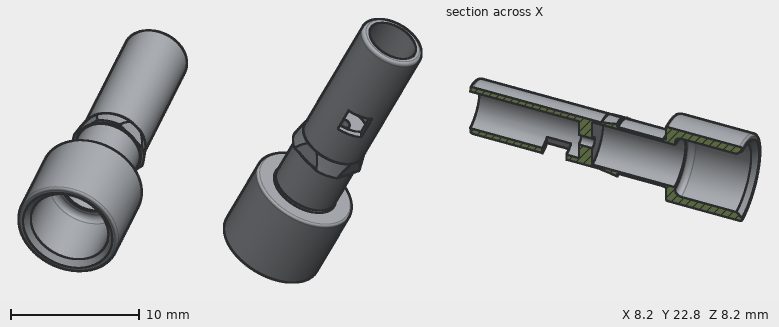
import cadquery as cq

LENGTH = 22.8

HEAD_RADIUS = 8.2 / 2
HEAD_LENGTH = 6.4
HEAD_ROUND = 0.2
SHANK_RADIUS = 5.2 / 2
SHANK_END_ROUND = 0.3
NECK_RADIUS = SHANK_RADIUS + 0.07
NECK_LENGTH = 0.2

BARB_RADIUS = 5.84 / 2
BARB_TIP_RADIUS = 5.3 / 2
BARB_START = 10.47
BARB_LENGTH = 1.3
BARB_ROOT = 0.07
FLAT_FIRST_ANGLE = 45.0

SOCKET_RADIUS = 6.35 / 2
SOCKET_DEPTH = 5.59
SOCKET_FLOOR_ROUND = 0.5
MOUTH_CHAMFER = 0.48
BORE_RADIUS = 4.6 / 2
BORE_DEPTH = 12.55
BORE_LEAD_IN = 0.07
WEB_THICKNESS = 1.15
WEB_HOLE_RADIUS = 1.0 / 2
REAR_BORE_RADIUS = 4.0 / 2

WINDOW_SIDE = 2.0
WINDOW_Y = 15.73


def cylinder(radius, start, end):
    """Cylinder on the Y axis between two Y positions."""
    return cq.Workplane("XZ", origin=(0, start, 0)).circle(radius).extrude(start - end)


def make_body():
    head = cylinder(HEAD_RADIUS, 0, HEAD_LENGTH).edges().fillet(HEAD_ROUND)
    shank = cylinder(SHANK_RADIUS, 0, LENGTH).faces(">Y").edges().fillet(SHANK_END_ROUND)
    neck_end = HEAD_LENGTH + NECK_LENGTH
    neck = (
        cq.Workplane("XY")
        .moveTo(0, 0)
        .lineTo(NECK_RADIUS, 0)
        .lineTo(NECK_RADIUS, HEAD_LENGTH)
        .lineTo(SHANK_RADIUS, neck_end)
        .lineTo(0, neck_end)
        .close()
        .revolve(360, (0, 0), (0, 1))
    )
    return head.union(shank).union(neck)


def make_barb():
    """Tapered collar, trimmed by flats that just touch the shank."""
    barb_end = BARB_START + BARB_LENGTH
    barb = (
        cq.Workplane("XY")
        .moveTo(0, BARB_START)
        .lineTo(BARB_RADIUS, BARB_START)
        .lineTo(BARB_TIP_RADIUS, barb_end)
        .lineTo(0, barb_end)
        .close()
        .revolve(360, (0, 0), (0, 1))
    )
    flat_prism = (
        cq.Workplane("XZ", origin=(0, BARB_START, 0))
        .transformed(rotate=(0, 0, FLAT_FIRST_ANGLE))
        .rect(2 * SHANK_RADIUS, 2 * SHANK_RADIUS)
        .extrude(-BARB_LENGTH)
    )
    root = cq.Workplane(
        cq.Solid.makeCone(
            SHANK_RADIUS, SHANK_RADIUS + BARB_ROOT, BARB_ROOT,
            pnt=cq.Vector(0, BARB_START - BARB_ROOT, 0), dir=cq.Vector(0, 1, 0),
        )
    )
    return barb.intersect(flat_prism).union(root)


def make_socket():
    """Chamfered mouth, round-bottomed socket and the narrower bore behind it."""
    socket = cylinder(SOCKET_RADIUS, 0, SOCKET_DEPTH).faces(">Y").edges().fillet(SOCKET_FLOOR_ROUND)
    bore = cylinder(BORE_RADIUS, 0, BORE_DEPTH)
    mouth = cq.Workplane(
        cq.Solid.makeCone(
            SOCKET_RADIUS + MOUTH_CHAMFER, SOCKET_RADIUS, MOUTH_CHAMFER,
            pnt=cq.Vector(0, 0, 0), dir=cq.Vector(0, 1, 0),
        )
    )
    lead_in = cq.Workplane(
        cq.Solid.makeCone(
            BORE_RADIUS + BORE_LEAD_IN, BORE_RADIUS, BORE_LEAD_IN,
            pnt=cq.Vector(0, SOCKET_DEPTH, 0), dir=cq.Vector(0, 1, 0),
        )
    )
    return socket.union(bore).union(mouth).union(lead_in)


def make_rear_bore():
    return cylinder(REAR_BORE_RADIUS, BORE_DEPTH + WEB_THICKNESS, LENGTH)


def make_inspection_window():
    return (
        cq.Workplane("XY")
        .center(0, WINDOW_Y)
        .rect(WINDOW_SIDE, WINDOW_SIDE)
        .extrude(-SHANK_RADIUS)
    )


result = (
    make_body()
    .union(make_barb())
    .cut(make_socket())
    .cut(make_rear_bore())
    .cut(cylinder(WEB_HOLE_RADIUS, 0, LENGTH))
    .cut(make_inspection_window())
)